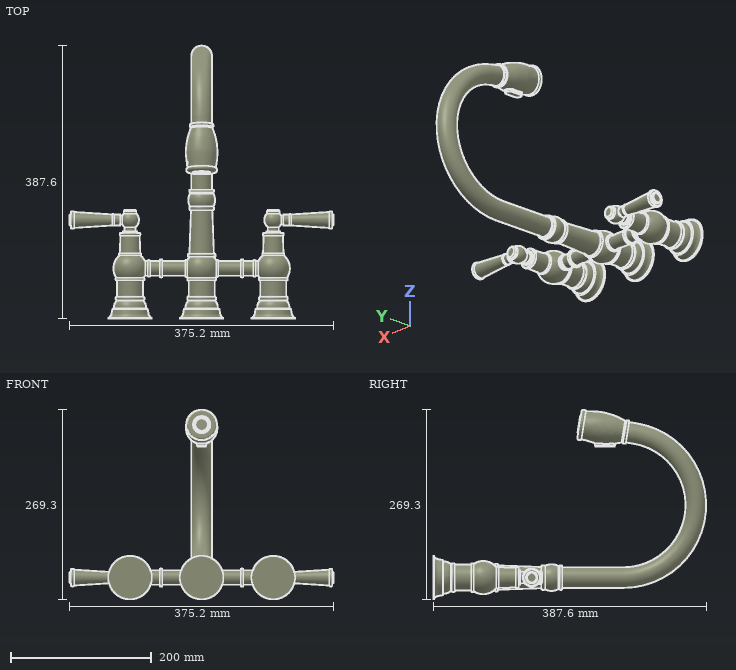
import math

import cadquery as cq


valve_spacing = 101.6
bridge_y = 71.2
lever_y = 139.9

flange_radius = 31.0
flange_thickness = 1.5
flare_base_radius = 29.6
flare_mid_radius = 27.8
flare_top_radius = 26.6
flare_top_y = 6.0
skirt_top_radius = 25.3
skirt_top_y = 13.5
dome_base_radius = 23.1
dome_base_y = 14.6
dome_bulge_radius = 22.1
dome_bulge_y = 20.8
dome_top_radius = 19.4
dome_top_y = 25.0
foot_ring_radius = 20.7
foot_ring_base_y = 26.2
foot_ring_top_y = 30.8
foot_collar_y = 33.0
collar_step = 0.6
pillar_radius = 18.6
pillar_top_y = 52.3
pillar_ring_base_y = 54.3
pillar_ring_top_y = 57.7

ball_radius = 23.8
neck_ring_base_y = 89.6
neck_ring_top_y = 93.0
neck_ring_radius = 15.8
neck_base_radius = 14.7
neck_top_radius = 13.85
neck_top_y = 117.5
cap_radius = 14.9
cap_top_y = 121.4
shoulder_radius = 10.2
shoulder_top_y = 123.8
stem_radius = 8.0
hub_radius = 12.9
button_radius = 9.1
button_base_y = 149.0
button_rim_y = 152.5
button_top_y = 154.6

lever_pin_radius = 6.1
lever_pin_end = 14.2
lever_sleeve_radius = 8.0
lever_collar_start = 22.6
lever_collar_end = 25.2
lever_collar_radius = 8.5
lever_grip_end = 79.4
lever_grip_radius = 11.5
lever_rim_end = 83.8
lever_rim_radius = 12.7
lever_end_radius = 8.2
lever_end_chamfer = 1.5
lever_length = 86.0

bridge_radius = 10.5
bridge_ring_radius = 11.9
bridge_ring_start = 25.0
bridge_ring_end = 28.4
bridge_nut_radius = 13.0
bridge_nut_start = 42.3
bridge_nut_end = 46.0
bridge_collar_radius = 12.4
bridge_collar_start = 78.3
bridge_collar_end = 82.0

post_ring_base_y = 87.7
post_ring_top_y = 91.8
post_ring_radius = 20.0
post_base_y = 94.0
post_base_radius = 17.5
post_top_radius = 15.3
post_top_y = 153.5
knuckle_ring_radius = 17.7
knuckle_base_y = 159.0
knuckle_centre_y = 168.0
knuckle_radius = 19.2
knuckle_top_y = 177.3
knuckle_cap_base_y = 179.5
knuckle_cap_top_y = 183.0

tube_radius = 14.8
bend_start_y = 269.86
bend_radius = 102.9
bend_angle = 170.9

head_ring_start = 10.4
head_ring_end = 14.6
head_ring_radius = 17.0
head_base_radius = 15.8
head_base = 16.5
head_belly_radius = 22.7
head_belly = 49.0
head_mouth_radius = 20.6
head_mouth = 71.5
head_rim_start = 73.5
head_rim_radius = 22.0
head_face_radius = 18.8
head_length = 79.7
nozzle_outer_radius = 12.4
nozzle_inner_radius = 8.9
nozzle_bevel = 0.9
nozzle_height = 0.9

pad_length = 29.0
pad_width = 13.3
pad_centre_y = 243.8
pad_bottom_z = 185.9
pad_height = 12.0
pad_edge_height = 2.2
pad_edge_inset = 0.8


def bead(profile, radius, start, end, foot_radius):
    """Go out to a ring with a rounded rim, then back in to foot_radius."""
    rim_height = (end - start) / 4
    shoulder = radius - rim_height
    return (
        profile.lineTo(shoulder, start)
        .threePointArc((radius, (start + end) / 2), (shoulder, end))
        .lineTo(foot_radius, end)
    )


def ball_point(radius, centre, height):
    """Profile point of a ball at the given height along the axis."""
    return math.sqrt(radius**2 - (height - centre) ** 2), height


def revolve_profile(profile, top):
    """Close a half profile along its axis at height top and spin it."""
    return profile.lineTo(0, top).close().revolve(360, (0, 0), (0, 1))


def column_profile(ball_top_y):
    """Half profile of the flange, foot, pillar and ball, ending on the ball at ball_top_y."""
    flare_mid = (flare_mid_radius, (flange_thickness + flare_top_y) / 2)
    dome_mid = (dome_bulge_radius, dome_bulge_y)
    profile = (
        cq.Workplane("XY")
        .lineTo(flange_radius, 0)
        .lineTo(flange_radius, flange_thickness)
        .lineTo(flare_base_radius, flange_thickness)
        .threePointArc(flare_mid, (flare_top_radius, flare_top_y))
        .lineTo(skirt_top_radius, skirt_top_y)
        .lineTo(dome_base_radius, dome_base_y)
        .threePointArc(dome_mid, (dome_top_radius, dome_top_y))
        .lineTo(dome_top_radius, foot_ring_base_y)
    )
    profile = bead(profile, foot_ring_radius, foot_ring_base_y, foot_ring_top_y, pillar_radius + collar_step)
    profile = profile.lineTo(pillar_radius, foot_collar_y).lineTo(pillar_radius, pillar_top_y)
    profile = profile.lineTo(pillar_radius + collar_step, pillar_ring_base_y)
    ball_base = ball_point(ball_radius, bridge_y, pillar_ring_top_y)
    profile = bead(profile, foot_ring_radius, pillar_ring_base_y, pillar_ring_top_y, ball_base[0])
    return profile.threePointArc((ball_radius, bridge_y), ball_point(ball_radius, bridge_y, ball_top_y))


def outer_column():
    """Outer column on the Y axis, from flange to the button above the lever hub."""
    profile = column_profile(neck_ring_base_y)
    profile = bead(profile, neck_ring_radius, neck_ring_base_y, neck_ring_top_y, neck_base_radius)
    profile = profile.lineTo(neck_top_radius, neck_top_y)
    profile = bead(profile, cap_radius, neck_top_y, cap_top_y, shoulder_radius)
    hub_base_y = lever_y - math.sqrt(hub_radius**2 - stem_radius**2)
    button_chamfer = button_top_y - button_rim_y
    hub_top = ball_point(hub_radius, lever_y, button_base_y)
    profile = (
        profile.lineTo(shoulder_radius, shoulder_top_y)
        .lineTo(stem_radius, shoulder_top_y)
        .lineTo(stem_radius, hub_base_y)
        .threePointArc((hub_radius, lever_y), hub_top)
        .lineTo(button_radius, button_base_y)
        .lineTo(button_radius, button_rim_y)
        .lineTo(button_radius - button_chamfer, button_top_y)
    )
    return revolve_profile(profile, button_top_y)


def sideways_plane():
    """Sketch plane on the outer column: local x is the radius, local y runs outward along +X."""
    return cq.Workplane(cq.Plane(origin=(valve_spacing, 0, 0), xDir=(0, 1, 0), normal=(0, 0, -1)))


def lever():
    """Lever handle of the +X column."""
    profile = (
        sideways_plane()
        .lineTo(lever_pin_radius, 0)
        .lineTo(lever_pin_radius, lever_pin_end)
        .lineTo(lever_sleeve_radius, lever_pin_end)
        .lineTo(lever_sleeve_radius, lever_collar_start)
    )
    profile = bead(profile, lever_collar_radius, lever_collar_start, lever_collar_end, lever_sleeve_radius)
    profile = profile.lineTo(lever_grip_radius, lever_grip_end)
    profile = bead(profile, lever_rim_radius, lever_grip_end, lever_rim_end, lever_end_radius)
    profile = (
        profile.lineTo(lever_end_radius, lever_length - lever_end_chamfer)
        .lineTo(lever_end_radius - lever_end_chamfer, lever_length)
    )
    return revolve_profile(profile, lever_length).translate((0, lever_y, 0))


def bridge():
    """Bridge tube from the +X column to the centre column, with its rings."""
    profile = sideways_plane().lineTo(bridge_radius, 0)
    rings = [
        (bridge_ring_radius, bridge_ring_start, bridge_ring_end),
        (bridge_nut_radius, bridge_nut_start, bridge_nut_end),
        (bridge_collar_radius, bridge_collar_start, bridge_collar_end),
    ]
    for radius, start, end in rings:
        profile = bead(profile.lineTo(bridge_radius, start), radius, start, end, bridge_radius)
    profile = profile.lineTo(bridge_radius, valve_spacing)
    tube = revolve_profile(profile, valve_spacing)
    return tube.mirror("YZ", (valve_spacing, 0, 0)).translate((0, bridge_y, 0))


def centre_column():
    """Centre column from flange to the knuckle that holds the spout."""
    knuckle_base = ball_point(knuckle_radius, knuckle_centre_y, knuckle_base_y)
    knuckle_top = ball_point(knuckle_radius, knuckle_centre_y, knuckle_top_y)
    profile = column_profile(post_ring_base_y)
    profile = bead(profile, post_ring_radius, post_ring_base_y, post_ring_top_y, post_base_radius + collar_step)
    profile = profile.lineTo(post_base_radius, post_base_y).lineTo(post_top_radius, post_top_y)
    profile = bead(profile, knuckle_ring_radius, post_top_y, knuckle_base_y, knuckle_base[0])
    profile = profile.threePointArc((knuckle_radius, knuckle_centre_y), knuckle_top)
    profile = profile.lineTo(knuckle_top[0], knuckle_cap_base_y)
    profile = bead(profile, knuckle_ring_radius, knuckle_cap_base_y, knuckle_cap_top_y, tube_radius)
    return revolve_profile(profile, knuckle_cap_top_y)


def bend_point(angle):
    """Point of the tube centreline after turning by angle degrees."""
    turn = math.radians(angle)
    return (
        bend_start_y + bend_radius * math.sin(turn),
        bend_radius * (1 - math.cos(turn)),
    )


def spout_tube():
    """Straight tube out of the knuckle and the long bend back over."""
    path = (
        cq.Workplane("YZ")
        .moveTo(knuckle_centre_y, 0)
        .lineTo(bend_start_y, 0)
        .threePointArc(bend_point(bend_angle / 2), bend_point(bend_angle))
    )
    section = cq.Workplane("XZ", origin=(0, knuckle_centre_y, 0)).circle(tube_radius)
    return section.sweep(path)


def spray_head():
    """Spray head on the end of the bend."""
    end_y, end_z = bend_point(bend_angle)
    turn = math.radians(bend_angle)
    plane = cq.Plane(
        origin=(0, end_y, end_z),
        xDir=(1, 0, 0),
        normal=(0, -math.sin(turn), math.cos(turn)),
    )
    profile = cq.Workplane(plane).lineTo(tube_radius, 0).lineTo(tube_radius, head_ring_start)
    profile = bead(profile, head_ring_radius, head_ring_start, head_ring_end, head_base_radius)
    profile = (
        profile.lineTo(head_base_radius, head_base)
        .threePointArc((head_belly_radius, head_belly), (head_mouth_radius, head_mouth))
        .lineTo(head_mouth_radius, head_rim_start)
        .threePointArc(
            (head_rim_radius, (head_rim_start + head_length) / 2),
            (head_face_radius, head_length),
        )
        .lineTo(nozzle_outer_radius, head_length)
        .lineTo(nozzle_outer_radius - nozzle_bevel, head_length + nozzle_height)
        .lineTo(nozzle_inner_radius + nozzle_bevel, head_length + nozzle_height)
        .lineTo(nozzle_inner_radius, head_length)
    )
    return revolve_profile(profile, head_length)


def spray_button():
    """Bevelled push pad on the underside of the spray head."""
    return (
        cq.Workplane("XY", origin=(0, pad_centre_y, pad_bottom_z))
        .slot2D(pad_length, pad_width, 90)
        .extrude(pad_height)
        .faces("<Z")
        .chamfer(pad_edge_height, pad_edge_inset)
    )


right_side = outer_column().translate((valve_spacing, 0, 0)).union(lever()).union(bridge())
left_side = right_side.mirror("YZ")
spout = centre_column().union(spout_tube()).union(spray_head()).union(spray_button())
result = spout.union(right_side).union(left_side)